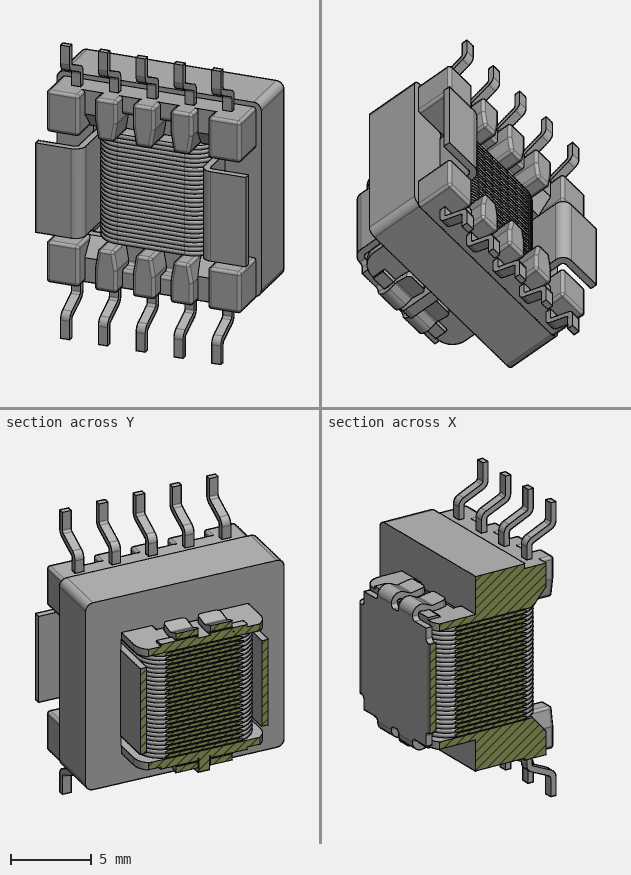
import cadquery as cq
import math


CORE_WIDTH = 13.7
CORE_DEPTH = 3.68
CORE_TOP = 6.8
CORE_BOTTOM = -6.34
CORE_CORNER_RADIUS = 0.51
WINDOW_WIDTH = 8.8
CORE_FRONT = -CORE_DEPTH / 2

TURNS = 25
WINDING_HALF_HEIGHT = 3.72
WINDING_WIDTH = 7.85
WINDING_FRONT = -3.19
WINDING_BACK = 4.61
WINDING_CORNER_RADIUS = 1.66
TURN_BULGE = 0.1
TURN_PITCH = 2 * WINDING_HALF_HEIGHT / TURNS

FLANGE_INNER = WINDING_HALF_HEIGHT
FLANGE_THICKNESS = 0.51
FLANGE_OUTER = FLANGE_INNER + FLANGE_THICKNESS
FLANGE_WIDTH = 8.75
FLANGE_BACK = 4.8
FLANGE_CORNER_RADIUS = 1.25
LIP_OUTER_X = 2.99
LIP_INNER_X = 0.42
LIP_FRONT = 3.86
LIP_HEIGHT = 0.15
LIP_FRONT_RUN = 0.14
POCKET_WIDTH = 4.55
POCKET_BACK = 2.44
POCKET_DEPTH = 0.34
POCKET_WALL_ANGLE = 45.0
KEY_WIDTH = 0.75
KEY_FRONT = 2.18
KEY_BACK = 4.73
KEY_HEIGHT = 1.03
KEY_ROUND = 0.38

RAIL_OUTER = 6.47
RAIL_INNER = 3.7
RAIL_FRONT = -3.4
RAIL_HEIGHT = RAIL_OUTER - RAIL_INNER
BLOCK_FRONT = -4.4
BLOCK_OUTER_X = 6.5
BLOCK_INNER_X = 4.34
EDGE_ROUND = 0.2
SLOPE_BACK = -2.42
SLOPE_OUTER = 4.85
SADDLE_HALF_WIDTH = 3.09
SADDLE_FRONT = -2.42
SADDLE_INNER = 3.88
SADDLE_STEP = 5.25
SADDLE_STEP_RADIUS = 0.2
POST_WIDTH = 1.47
POST_TIP_WIDTH = 1.03
POST_TAPER_START = 4.97

LEAD_PITCH = 2.53
LEAD_COUNT = 5
LEAD_WIDTH = 0.61
LEAD_THICKNESS = 0.4
LEAD_BEND_RADIUS = 0.4
LEAD_END = 9.9
LEAD_EMBEDDED_LENGTH = 0.4
LEAD_ROOT = RAIL_OUTER - LEAD_EMBEDDED_LENGTH
LEAD_ROOT_Y = -2.85
LEAD_FOOT_FRONT = -4.83
LEAD_FOOT_Y = LEAD_FOOT_FRONT + LEAD_THICKNESS / 2
LEAD_KNEE_Z = 7.6
LEAD_ANKLE_Z = 8.4

CLIP_WIDTH = 14.1
CLIP_HEIGHT = 6.04
CLIP_THICKNESS = 0.45
CLIP_BACK = 5.27
CLIP_FRONT = LEAD_FOOT_FRONT
CLIP_SIDE_WIDTH = 8.85
CLIP_BEND_RADIUS = 0.48
SHOULDER_WIDTH = 6.97
SHOULDER_TOP = 3.98
CLIP_FILLET = 0.25
TAB_SPACING = 2.35
TAB_WIDTH = 1.55
TAB_BEND_RADIUS = 0.44
TAB_PEAK_Z = 4.91
TAB_DIP_Y = 3.85
TAB_DIP_Z = 4.38
TAB_TIP_Y = 2.67
TAB_TIP_Z = 4.6
TAB_TIP_ROUND = 0.28


def box(x0, x1, y0, y1, z0, z1):
    """Box between two opposite corners."""
    return cq.Workplane("XY").box(x1 - x0, y1 - y0, z1 - z0, centered=False).translate((x0, y0, z0))


def with_mirror(body):
    """Body together with its mirror image in the XY plane."""
    return body.union(body.mirror("XY"))


def side_extrusion(outline, x0, x1):
    """Extrude a (Y, Z) outline along X from x0 to x1."""
    return cq.Workplane("YZ", origin=(x0, 0, 0)).polyline(outline).close().extrude(x1 - x0)


def bent_path(plane, points, radius):
    """Open path through the points, every inner corner replaced by a tangent arc."""
    path = cq.Workplane(plane).moveTo(*points[0])
    for before, corner, after in zip(points, points[1:], points[2:]):
        vertex = cq.Vector(*corner)
        toward_before = (cq.Vector(*before) - vertex).normalized()
        toward_after = (cq.Vector(*after) - vertex).normalized()
        half_angle = toward_before.getAngle(toward_after) / 2
        setback = radius / math.tan(half_angle)
        bisector = (toward_before + toward_after).normalized()
        start = vertex + toward_before * setback
        middle = vertex + bisector * (radius / math.sin(half_angle) - radius)
        end = vertex + toward_after * setback
        path = path.lineTo(start.x, start.y)
        path = path.threePointArc((middle.x, middle.y), (end.x, end.y))
    return path.lineTo(*points[-1])


def make_core():
    """Closed frame around the winding window."""
    height = CORE_TOP - CORE_BOTTOM
    core = cq.Workplane("XY").box(CORE_WIDTH, CORE_DEPTH, height)
    core = core.translate((0, 0, (CORE_TOP + CORE_BOTTOM) / 2)).edges("|Y").fillet(CORE_CORNER_RADIUS)
    window = cq.Workplane("XY").box(WINDOW_WIDTH, CORE_DEPTH, 2 * WINDING_HALF_HEIGHT)
    return core.cut(window)


def make_winding():
    """Rounded block whose surface is a stack of bulging turns."""
    depth = WINDING_BACK - WINDING_FRONT
    center_y = (WINDING_BACK + WINDING_FRONT) / 2
    valley_x = WINDING_WIDTH / 2 - TURN_BULGE
    valley_depth = depth - 2 * TURN_BULGE
    valley_radius = WINDING_CORNER_RADIUS - TURN_BULGE

    block = cq.Workplane("XY").box(2 * valley_x, valley_depth, 2 * WINDING_HALF_HEIGHT)
    block = block.edges("|Z").fillet(valley_radius)
    path = cq.Workplane("XY").rect(2 * valley_x, valley_depth).extrude(WINDING_HALF_HEIGHT)
    path = path.edges("|Z").fillet(valley_radius).faces("<Z").wires()

    profile_back_x = valley_x - 2 * TURN_BULGE
    profile = cq.Workplane("XZ").moveTo(profile_back_x, -WINDING_HALF_HEIGHT)
    profile = profile.lineTo(valley_x, -WINDING_HALF_HEIGHT)
    for turn in range(TURNS):
        bottom = -WINDING_HALF_HEIGHT + turn * TURN_PITCH
        crest = (valley_x + TURN_BULGE, bottom + TURN_PITCH / 2)
        profile = profile.threePointArc(crest, (valley_x, bottom + TURN_PITCH))
    profile = profile.lineTo(profile_back_x, WINDING_HALF_HEIGHT).close()
    return block.union(profile.sweep(path)).translate((0, center_y, 0))


def make_rear_flange():
    """Upper flange with its two lips and the pocket in its outer face."""
    half_width = FLANGE_WIDTH / 2
    flange = box(-half_width, half_width, CORE_FRONT, FLANGE_BACK, FLANGE_INNER, FLANGE_OUTER)
    flange = flange.edges("|Z and >Y").fillet(FLANGE_CORNER_RADIUS)

    lip_outline = [
        (FLANGE_BACK, FLANGE_OUTER),
        (FLANGE_BACK, FLANGE_OUTER + LIP_HEIGHT),
        (LIP_FRONT + LIP_FRONT_RUN, FLANGE_OUTER + LIP_HEIGHT),
        (LIP_FRONT, FLANGE_OUTER),
    ]
    for side in (-1, 1):
        flange = flange.union(side_extrusion(lip_outline, side * LIP_INNER_X, side * LIP_OUTER_X))

    pocket = cq.Workplane("XY", origin=(0, 0, FLANGE_OUTER)).rect(POCKET_WIDTH, 2 * POCKET_BACK)
    pocket = pocket.extrude(-POCKET_DEPTH, taper=POCKET_WALL_ANGLE)
    return flange.cut(pocket)


def make_key():
    """Polarity key standing out under the lower flange, between the clip tabs."""
    key = box(
        -KEY_WIDTH / 2, KEY_WIDTH / 2, KEY_FRONT, KEY_BACK, -FLANGE_OUTER - KEY_HEIGHT, -FLANGE_OUTER
    )
    return key.edges("|X and >Y and <Z").fillet(KEY_ROUND)


def make_rail():
    """Upper terminal rail: two end blocks, three posts and the channels between them."""
    saddle = cq.Workplane("YZ", origin=(-SADDLE_HALF_WIDTH, 0, 0)).moveTo(CORE_FRONT, SADDLE_INNER)
    saddle = saddle.lineTo(SADDLE_FRONT, SADDLE_INNER)
    saddle = saddle.lineTo(SADDLE_FRONT, SADDLE_STEP - SADDLE_STEP_RADIUS)
    saddle = saddle.radiusArc((SADDLE_FRONT - SADDLE_STEP_RADIUS, SADDLE_STEP), -SADDLE_STEP_RADIUS)
    saddle = saddle.lineTo(RAIL_FRONT + SADDLE_STEP_RADIUS, SADDLE_STEP)
    saddle = saddle.radiusArc((RAIL_FRONT, SADDLE_STEP + SADDLE_STEP_RADIUS), SADDLE_STEP_RADIUS)
    saddle = saddle.lineTo(RAIL_FRONT, RAIL_OUTER).lineTo(CORE_FRONT, RAIL_OUTER).close()
    rail = saddle.extrude(2 * SADDLE_HALF_WIDTH)

    slope_outline = [
        (CORE_FRONT, RAIL_INNER),
        (SLOPE_BACK, RAIL_INNER),
        (RAIL_FRONT, SLOPE_OUTER),
        (RAIL_FRONT, RAIL_OUTER),
        (CORE_FRONT, RAIL_OUTER),
    ]
    block_middle = (BLOCK_OUTER_X + BLOCK_INNER_X) / 2
    for side in (-1, 1):
        rail = rail.union(side_extrusion(slope_outline, side * SADDLE_HALF_WIDTH, side * block_middle))
        block = cq.Workplane("XY").box(
            BLOCK_OUTER_X - BLOCK_INNER_X, CORE_FRONT - BLOCK_FRONT, RAIL_HEIGHT
        )
        block = block.edges("|Y or <Y").fillet(EDGE_ROUND)
        rail = rail.union(block.translate(
            (side * block_middle, (CORE_FRONT + BLOCK_FRONT) / 2, (RAIL_OUTER + RAIL_INNER) / 2)))

    post_outline = [
        (-POST_TIP_WIDTH / 2, RAIL_INNER),
        (POST_TIP_WIDTH / 2, RAIL_INNER),
        (POST_WIDTH / 2, POST_TAPER_START),
        (POST_WIDTH / 2, RAIL_OUTER),
        (-POST_WIDTH / 2, RAIL_OUTER),
        (-POST_WIDTH / 2, POST_TAPER_START),
    ]
    post = cq.Workplane("XZ", origin=(0, CORE_FRONT, 0)).polyline(post_outline).close()
    post = post.extrude(CORE_FRONT - BLOCK_FRONT)
    post = post.edges("|Y or <Y").fillet(EDGE_ROUND)
    for position in (-1, 0, 1):
        rail = rail.union(post.translate((position * LEAD_PITCH, 0, 0)))
    return rail


def make_leads():
    """Upper row of gull-wing leads."""
    points = [
        (LEAD_ROOT_Y, LEAD_ROOT),
        (LEAD_ROOT_Y, LEAD_KNEE_Z),
        (LEAD_FOOT_Y, LEAD_ANKLE_Z),
        (LEAD_FOOT_Y, LEAD_END),
    ]
    section = cq.Workplane("XY", origin=(0, LEAD_ROOT_Y, LEAD_ROOT)).rect(LEAD_WIDTH, LEAD_THICKNESS)
    lead = section.sweep(bent_path("YZ", points, LEAD_BEND_RADIUS))
    leads = cq.Workplane("XY")
    for index in range(LEAD_COUNT):
        leads = leads.add(lead.translate(((index - (LEAD_COUNT - 1) / 2) * LEAD_PITCH, 0, 0)))
    return leads.combine()


def make_clip_band():
    """Band bent around the back of the winding, with feet turned outwards at the front."""
    foot_x = CLIP_WIDTH / 2
    side_x = (CLIP_SIDE_WIDTH - CLIP_THICKNESS) / 2
    foot_y = CLIP_FRONT + CLIP_THICKNESS / 2
    back_y = CLIP_BACK - CLIP_THICKNESS / 2
    points = [
        (-foot_x, foot_y),
        (-side_x, foot_y),
        (-side_x, back_y),
        (side_x, back_y),
        (side_x, foot_y),
        (foot_x, foot_y),
    ]
    section = cq.Workplane("YZ", origin=(-foot_x, foot_y, 0)).rect(CLIP_THICKNESS, CLIP_HEIGHT)
    return section.sweep(bent_path("XY", points, CLIP_BEND_RADIUS))


def concave_fillet(corner_x, corner_z, side):
    """Fillet filling the corner between a ledge and a wall; side points away from the wall."""
    front = CLIP_BACK - CLIP_THICKNESS
    center_x = corner_x + side * CLIP_FILLET
    center_z = corner_z + CLIP_FILLET
    x0, x1 = sorted((corner_x, center_x))
    fillet = box(x0, x1, front, CLIP_BACK, corner_z, center_z)
    round_cut = cq.Workplane("XZ", origin=(center_x, CLIP_BACK, center_z)).circle(CLIP_FILLET)
    return fillet.cut(round_cut.extrude(CLIP_THICKNESS))


def make_clip_tabs():
    """Upper shoulder of the clip and its two spring tabs."""
    front = CLIP_BACK - CLIP_THICKNESS
    middle_y = CLIP_BACK - CLIP_THICKNESS / 2
    band_top = CLIP_HEIGHT / 2
    shoulder_x = SHOULDER_WIDTH / 2
    plate = box(-shoulder_x, shoulder_x, front, CLIP_BACK, 0, SHOULDER_TOP)

    points = [
        (middle_y, SHOULDER_TOP),
        (middle_y, TAB_PEAK_Z),
        (TAB_DIP_Y, TAB_DIP_Z),
        (TAB_TIP_Y, TAB_TIP_Z),
    ]
    section = cq.Workplane("XY", origin=(0, middle_y, SHOULDER_TOP)).rect(TAB_WIDTH, CLIP_THICKNESS)
    tab = section.sweep(bent_path("YZ", points, TAB_BEND_RADIUS))
    tab = tab.faces("<Y").edges("not |X").fillet(TAB_TIP_ROUND)

    for side in (-1, 1):
        plate = plate.union(concave_fillet(side * shoulder_x, band_top, side))
        center_x = side * TAB_SPACING / 2
        plate = plate.union(tab.translate((center_x, 0, 0)))
        for edge in (-1, 1):
            plate = plate.union(concave_fillet(center_x + edge * TAB_WIDTH / 2, SHOULDER_TOP, edge))
    return plate


bobbin_half = make_rear_flange().union(make_rail())
result = make_core().union(make_winding())
result = result.union(with_mirror(bobbin_half)).union(make_key())
result = result.union(with_mirror(make_leads()))
result = result.union(make_clip_band()).union(with_mirror(make_clip_tabs()))